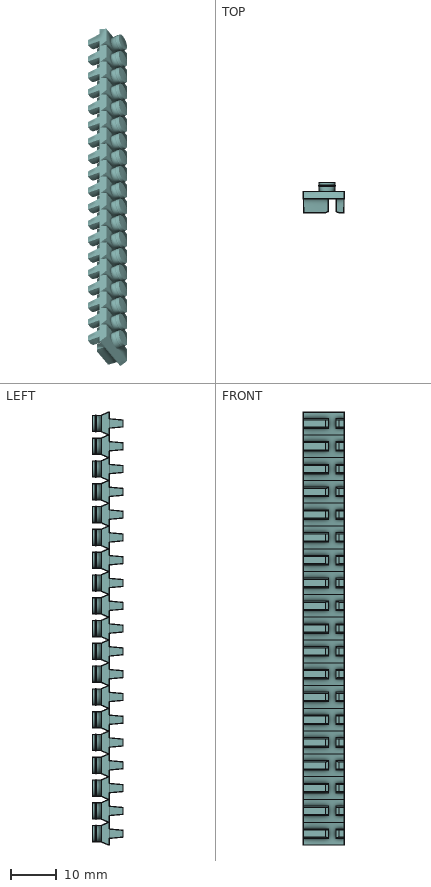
import cadquery as cq

UNIT_COUNT = 19
PITCH = 5.0
WIDTH = 9.0
LENGTH = UNIT_COUNT * PITCH

PLATE_THICKNESS = 1.7
RIM_THICKNESS = 0.2
GROOVE_HALF_WIDTH = 0.65

BOSS_DIAMETER = 3.6
BOSS_HEIGHT = 2.0
BOSS_X = 0.7
BEAD_DIAMETER = BOSS_DIAMETER + 0.12
BEAD_WIDTH = 0.3
BEAD_FROM_TIP = 0.75

TOOTH_LENGTH = 3.0
TOOTH_BASE_HEIGHT = 2.1
TOOTH_TIP_HEIGHT = 1.55
LONG_TOOTH_WIDTH = 5.5
SHORT_TOOTH_WIDTH = 1.8
SIDE_TAPER = 0.1
TIP_BEVEL_WIDTH = 0.6
TIP_BEVEL_DEPTH = 0.28


def side_profile(points):
    """Closed outline in the YZ plane, extruded across the full plate width."""
    return cq.Workplane("YZ").polyline(points).close().extrude(WIDTH / 2, both=True)


def plate_segment():
    """One plate unit whose back corners are bevelled to form V grooves."""
    edge = PITCH / 2
    back_edge = edge - GROOVE_HALF_WIDTH
    return side_profile([
        (0, -edge),
        (RIM_THICKNESS, -edge),
        (PLATE_THICKNESS, -back_edge),
        (PLATE_THICKNESS, back_edge),
        (RIM_THICKNESS, edge),
        (0, edge),
    ])


def snap_boss():
    """Round boss with a raised bead of V section near its tip."""
    radius = BOSS_DIAMETER / 2
    tip = PLATE_THICKNESS + BOSS_HEIGHT
    bead = tip - BEAD_FROM_TIP
    return (
        cq.Workplane("XY")
        .moveTo(0, 0)
        .lineTo(radius, 0)
        .lineTo(radius, bead - BEAD_WIDTH / 2)
        .lineTo(BEAD_DIAMETER / 2, bead)
        .lineTo(radius, bead + BEAD_WIDTH / 2)
        .lineTo(radius, tip)
        .lineTo(0, tip)
        .close()
        .revolve(360, (0, 0, 0), (0, 1, 0))
        .translate((BOSS_X, 0, 0))
    )


def tooth_plan(side, width):
    """Tooth outline seen along Z; side is -1 or 1 for the plate edge where the tooth stands."""
    outer = side * WIDTH / 2
    inner = outer - side * width
    return (
        cq.Workplane("XY")
        .moveTo(outer, 0)
        .lineTo(inner, 0)
        .lineTo(inner, TIP_BEVEL_DEPTH - TOOTH_LENGTH)
        .lineTo(inner + side * TIP_BEVEL_WIDTH, -TOOTH_LENGTH)
        .lineTo(outer - side * SIDE_TAPER, -TOOTH_LENGTH)
        .close()
        .extrude(PITCH / 2, both=True)
    )


def tooth_pair():
    """Two tapered teeth that start flush with the plate sides, bevelled at their facing tip corners."""
    base = TOOTH_BASE_HEIGHT / 2
    tip = TOOTH_TIP_HEIGHT / 2
    wedge = side_profile([(0, -base), (0, base), (-TOOTH_LENGTH, tip), (-TOOTH_LENGTH, -tip)])
    long_tooth = tooth_plan(-1, LONG_TOOTH_WIDTH)
    short_tooth = tooth_plan(1, SHORT_TOOTH_WIDTH)
    return wedge.intersect(long_tooth.union(short_tooth))


unit = plate_segment().union(snap_boss()).union(tooth_pair())
result = cq.Workplane("XY")
for index in range(UNIT_COUNT):
    height = (index + 0.5) * PITCH - LENGTH / 2
    result = result.union(unit.translate((0, 0, height)))